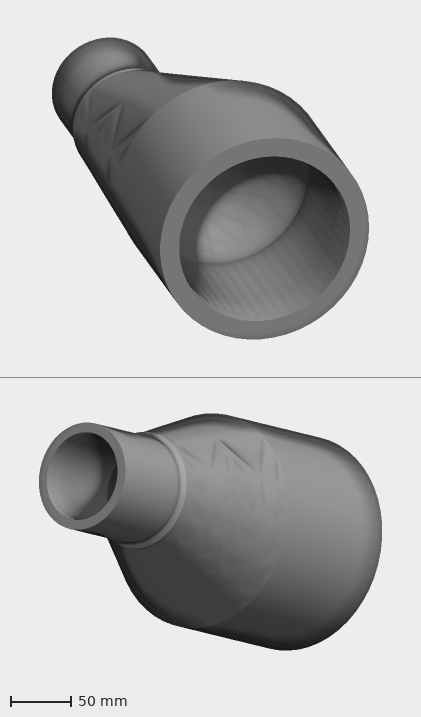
import cadquery as cq

total_length = 348.0

large_diameter = 180.0
large_wall = 16.4
small_diameter = 90.0
small_wall = 8.2

small_length = 75.0
collar_step = 4.0
collar_land = 4.2
large_length = 128.5

large_radius = large_diameter / 2
small_radius = small_diameter / 2
collar_radius = small_radius + collar_step
large_bore_radius = large_radius - large_wall
small_bore_radius = small_radius - small_wall

small_axis_y = -(large_radius - collar_radius)

chamfer_end_x = small_length + collar_step
cone_start_x = chamfer_end_x + collar_land
cone_end_x = total_length - large_length


def cylinder(start_x, end_x, axis_y, radius):
    """Round bar along X between two stations."""
    return (
        cq.Workplane("YZ", origin=(start_x, axis_y, 0))
        .circle(radius)
        .extrude(end_x - start_x)
    )


def cone(start_x, start_y, start_radius, end_x, end_y, end_radius):
    """Ruled transition along X between two circles whose centres may differ in Y."""
    return (
        cq.Workplane("YZ", origin=(start_x, start_y, 0))
        .circle(start_radius)
        .workplane(offset=end_x - start_x)
        .center(end_y - start_y, 0)
        .circle(end_radius)
        .loft(ruled=True)
    )


def outer_body():
    """Small pipe, 45 degree chamfered collar, eccentric cone and large pipe."""
    small_pipe = cylinder(0, small_length, small_axis_y, small_radius)
    chamfer = cone(
        small_length, small_axis_y, small_radius,
        chamfer_end_x, small_axis_y, collar_radius,
    )
    collar = cylinder(chamfer_end_x, cone_start_x, small_axis_y, collar_radius)
    transition = cone(
        cone_start_x, small_axis_y, collar_radius,
        cone_end_x, 0, large_radius,
    )
    large_pipe = cylinder(cone_end_x, total_length, 0, large_radius)
    return small_pipe.union(chamfer).union(collar).union(transition).union(large_pipe)


def bore():
    """Through passage: small bore, eccentric cone and large bore."""
    small_bore = cylinder(0, cone_start_x, small_axis_y, small_bore_radius)
    transition = cone(
        cone_start_x, small_axis_y, small_bore_radius,
        cone_end_x, 0, large_bore_radius,
    )
    large_bore = cylinder(cone_end_x, total_length, 0, large_bore_radius)
    return small_bore.union(transition).union(large_bore)


result = outer_body().cut(bore())